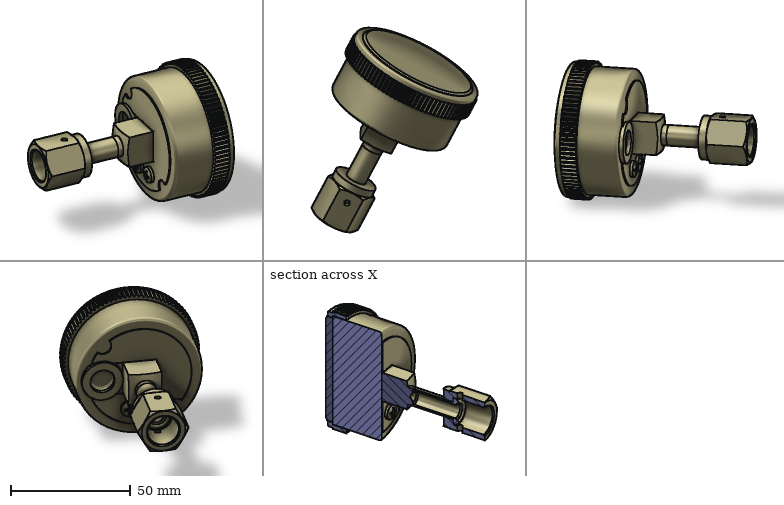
import cadquery as cq
import math


case_radius = 27.05
case_rear_fillet = 1.6
case_front_y = 24.5

ring_radius = 28.65
ring_front_y = 27.1
ring_front_fillet = 1.0
knurl_diameter = 58.3
knurl_tip_radius = knurl_diameter / 2
knurl_depth = 0.9
knurl_teeth = 90
knurl_land_share = 0.3
knurl_turn = 1.4
knurl_rear_y = 17.65

window_radius = 25.8
window_front_y = 28.0
window_chamfer_width = 1.2
window_chamfer_height = 0.6

plate_radius = 22.2
plate_thickness = 0.55
plate_flat_x = -20.2
plate_notch_radius = 3.55
plate_notch_angles = (135, 315)

washer_x = -16.15
washer_radius = 8.8
washer_hole_radius = 5.2
washer_thickness = 1.8
pocket_floor_radius = 3.7
pocket_depth = washer_hole_radius - pocket_floor_radius

block_width = 14.25
block_end_y = -13.05
block_cone_angle = 15
slot_half_width = 7.3
neck_end_y = -15.4
tube_radius = 4.4

gland_end_y = -38.3
gland_bore_radius = 3.25
gland_mouth_radius = 3.95
bead_outer_radius = 5.9
bead_radius = (bead_outer_radius - gland_mouth_radius) / 2
bead_center_radius = (bead_outer_radius + gland_mouth_radius) / 2
flange_face_y = gland_end_y + bead_radius
flange_thickness = 2.0
flange_back_y = flange_face_y + flange_thickness
drill_radius_at_joint = 2.4
drill_half_angle = 59

overall_length = 79.1
nut_across_flats = 19.0
nut_collar_radius = 9.3
nut_collar_y = -30.4
nut_hex_y = -33.7
nut_end_y = window_front_y - overall_length
nut_chamfer_angle = 30
nut_bore_radius = 6.65
nut_bore_chamfer = 0.55
leak_hole_y = -38.7
leak_hole_radius = 1.2

screw_x = 4.75
screw_z = -14.25
screw_head_radius = 3.5
screw_rim_height = 1.3
screw_head_height = 2.3
recess_reach = 2.05
recess_tip_half_width = 0.5
recess_root = 0.55
recess_depth = 1.2
recess_taper = 12
screw_turns = {-screw_x: 0, screw_x: 10}


def along_y(y):
    """Workplane across the gauge axis at height y: local x = X, local y = Z, normal = -Y."""
    return cq.Workplane("XZ", origin=(0, y, 0))


def cylinder(radius, y_front, y_rear, x=0.0, z=0.0):
    """Cylinder parallel to Y from y_front back to y_rear."""
    return along_y(y_front).center(x, z).circle(radius).extrude(y_front - y_rear)


def turned(points):
    """Solid turned about the Y axis from (radius, y) points."""
    return cq.Workplane("XY").polyline(points).close().revolve(360, (0, 0, 0), (0, 1, 0))


def end_cone(face_radius, face_y, outer_radius, angle, inward):
    """Turned envelope that bevels the corners of a prism at face_y; inward is the Y sign into the prism."""
    drop = (outer_radius - face_radius) * math.tan(math.radians(angle))
    far_y = face_y + inward * overall_length
    return turned([
        (0, face_y),
        (face_radius, face_y),
        (outer_radius, face_y + inward * drop),
        (outer_radius, far_y),
        (0, far_y),
    ])


def make_vent_pocket():
    """Blind pocket whose wall is one quarter-round running into the flat floor."""
    diagonal = pocket_depth * math.sqrt(0.5)
    return (
        cq.Workplane("XY")
        .moveTo(0, 0)
        .lineTo(washer_hole_radius, 0)
        .threePointArc((pocket_floor_radius + diagonal, diagonal), (pocket_floor_radius, pocket_depth))
        .lineTo(0, pocket_depth)
        .close()
        .revolve(360, (0, 0, 0), (0, 1, 0))
        .translate((washer_x, 0, 0))
    )


def make_case():
    case = cylinder(case_radius, case_front_y, 0).faces("<Y").edges().fillet(case_rear_fillet)
    return case.cut(make_vent_pocket())


def make_ring():
    """Bezel: knurled skirt around the case, and a rounded lip that holds the window."""
    pitch = 2 * math.pi / knurl_teeth
    half_land = knurl_land_share * pitch / 2
    valley_radius = knurl_tip_radius - knurl_depth
    outline = []
    for i in range(knurl_teeth):
        tip_angle = math.radians(knurl_turn) + i * pitch
        for radius, angle in (
            (knurl_tip_radius, tip_angle - half_land),
            (knurl_tip_radius, tip_angle + half_land),
            (valley_radius, tip_angle + pitch / 2),
        ):
            outline.append((radius * math.cos(angle), radius * math.sin(angle)))
    skirt = along_y(case_front_y).polyline(outline).close().extrude(case_front_y - knurl_rear_y)
    lip = cylinder(ring_radius, ring_front_y, case_front_y).faces(">Y").edges().fillet(ring_front_fillet)
    return (
        skirt.union(lip)
        .cut(cylinder(case_radius, case_front_y, knurl_rear_y))
        .cut(cylinder(window_radius, ring_front_y, case_front_y))
    )


def make_window():
    return turned([
        (0, case_front_y),
        (window_radius, case_front_y),
        (window_radius, window_front_y - window_chamfer_height),
        (window_radius - window_chamfer_width, window_front_y),
        (0, window_front_y),
    ])


def make_back_plate():
    """Thin disc with a flat, two round notches, and openings for the block and the washer."""
    plate = cylinder(plate_radius, 0, -plate_thickness)
    beyond_flat = plate_radius + plate_flat_x
    plate = plate.cut(
        cq.Workplane("XY").box(beyond_flat, plate_thickness, 2 * plate_radius, centered=(False, False, True))
        .translate((-plate_radius, -plate_thickness, 0))
    )
    for angle in plate_notch_angles:
        notch_x = plate_radius * math.cos(math.radians(angle))
        notch_z = plate_radius * math.sin(math.radians(angle))
        plate = plate.cut(cylinder(plate_notch_radius, 0, -plate_thickness, notch_x, notch_z))
    slot = (
        cq.Workplane("XY")
        .box(plate_radius + slot_half_width, plate_thickness, 2 * slot_half_width, centered=(False, False, True))
        .translate((-plate_radius, -plate_thickness, 0))
    )
    return plate.cut(slot).cut(cylinder(washer_radius, 0, -plate_thickness, washer_x))


def make_washer():
    washer = cylinder(washer_radius, 0, -washer_thickness, washer_x)
    return washer.cut(cylinder(washer_hole_radius, 0, -washer_thickness, washer_x))


def make_bore():
    """Drilled passage through the gland; its cone ends inside the neck of the block."""
    slope = math.tan(math.radians(drill_half_angle))
    tip_y = neck_end_y + drill_radius_at_joint / slope
    return turned([
        (0, gland_end_y),
        (gland_bore_radius, gland_end_y),
        (gland_bore_radius, tip_y - gland_bore_radius / slope),
        (0, tip_y),
    ])


def make_block():
    block = along_y(0).rect(block_width, block_width).extrude(-block_end_y)
    block = block.intersect(end_cone(tube_radius, block_end_y, block_width, block_cone_angle, 1))
    neck = cylinder(tube_radius, block_end_y, neck_end_y)
    return block.union(neck).cut(make_bore())


def make_gland():
    """Tube with a flange inside the nut, a round sealing bead and a bevelled mouth."""
    mouth_bevel = gland_mouth_radius - gland_bore_radius
    body = turned([
        (0, neck_end_y),
        (tube_radius, neck_end_y),
        (tube_radius, flange_back_y),
        (nut_bore_radius, flange_back_y),
        (nut_bore_radius, flange_face_y),
        (0, flange_face_y),
    ])
    bead = (
        cq.Workplane("XY")
        .center(bead_center_radius, flange_face_y)
        .circle(bead_radius)
        .revolve(360, (-bead_center_radius, 0, 0), (-bead_center_radius, 1, 0))
    )
    mouth = turned([
        (0, flange_face_y),
        (gland_mouth_radius, flange_face_y),
        (gland_bore_radius, flange_face_y + mouth_bevel),
        (0, flange_face_y + mouth_bevel),
    ])
    return body.union(bead).cut(make_bore()).cut(mouth)


def make_nut():
    corner_diameter = nut_across_flats / math.cos(math.pi / 6)
    hexagon = along_y(nut_hex_y).polygon(6, corner_diameter).extrude(nut_hex_y - nut_end_y)
    hexagon = hexagon.intersect(
        end_cone(nut_collar_radius, nut_end_y, corner_diameter, nut_chamfer_angle, 1)
    ).intersect(
        end_cone(nut_collar_radius, nut_hex_y, corner_diameter, nut_chamfer_angle, -1)
    )
    bore = turned([
        (0, flange_back_y),
        (nut_bore_radius, flange_back_y),
        (nut_bore_radius, nut_end_y + nut_bore_chamfer),
        (nut_bore_radius + nut_bore_chamfer, nut_end_y),
        (0, nut_end_y),
    ])
    leak_hole = (
        cq.Workplane("XY", origin=(0, leak_hole_y, 0))
        .circle(leak_hole_radius)
        .extrude(nut_across_flats / 2, both=True)
    )
    return (
        hexagon.union(cylinder(nut_collar_radius, nut_collar_y, nut_hex_y))
        .cut(cylinder(tube_radius, nut_collar_y, flange_back_y))
        .cut(bore)
        .cut(leak_hole)
    )


def make_screw(x, turn):
    """Domed screw head on the back plate, with a cross recess turned clockwise by turn degrees."""
    dome_height = screw_head_height - screw_rim_height
    dome_radius = (screw_head_radius ** 2 + dome_height ** 2) / (2 * dome_height)
    dome = (
        cq.Workplane("XY", origin=(0, dome_radius - screw_head_height, 0))
        .sphere(dome_radius)
    )
    head = cylinder(screw_head_radius, 0, -screw_head_height).intersect(dome)
    cross = []
    for quarter in range(4):
        c = round(math.cos(quarter * math.pi / 2))
        s = round(math.sin(quarter * math.pi / 2))
        for u, v in (
            (recess_reach, -recess_tip_half_width),
            (recess_reach, recess_tip_half_width),
            (recess_root, recess_root),
        ):
            cross.append((u * c - v * s, u * s + v * c))
    recess = along_y(-screw_head_height).polyline(cross).close().extrude(-recess_depth, taper=recess_taper)
    screw = head.cut(recess).rotate((0, 0, 0), (0, 1, 0), turn)
    return screw.translate((x, -plate_thickness, screw_z))


case = make_case()
ring = make_ring()
window = make_window()
back_plate = make_back_plate()
washer = make_washer()
block = make_block()
gland = make_gland()
nut = make_nut()
screws = [make_screw(x, turn) for x, turn in screw_turns.items()]

bodies = [case, ring, window, back_plate, washer, block, gland, nut, *screws]
result = cq.Compound.makeCompound([body.solids().val() for body in bodies])